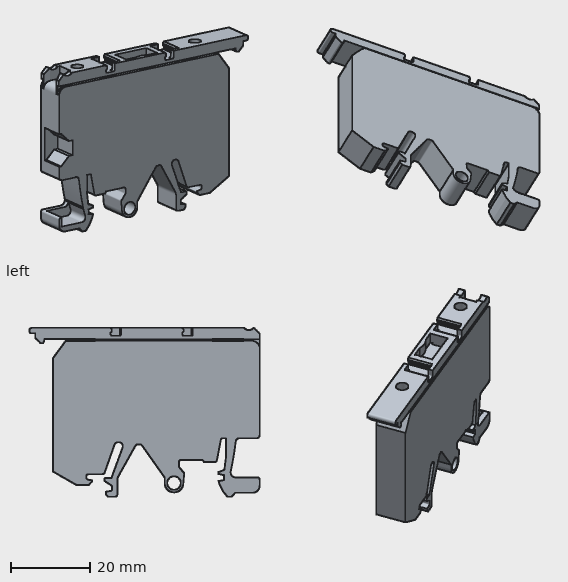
import cadquery as cq
import math


HOUSING_WIDTH = 8.1
HOUSING_HALF_WIDTH = HOUSING_WIDTH / 2
HOUSING_TOP = 39.25
HOUSING_BACK = 52.1
TOP_FRONT_RADIUS = 2.0
PIVOT_Y = 21.6
PIVOT_Z = 3.5
PIVOT_OUTER_RADIUS = 2.4
PIVOT_HOLE_RADIUS = 1.7

SIDE_WALL = 1.6
WINDOW_BOTTOM = 18.45
WINDOW_TOP = 27.0
WINDOW_LEDGE = 0.6
WINDOW_SLOPE_DEPTH = 2.95
WINDOW_SLOPE_HEIGHT = 2.3
WINDOW_DEPTH = 4.05
FOOT_LIP = 0.75
FOOT_FLOOR = 2.5
FOOT_TOP = 4.95
FOOT_CORNER_RADIUS = 1.15
TROUGH_TOP = 6.0
TROUGH_BACK_TOP = 7.35
TROUGH_BACK_BOTTOM = 8.4

LEVER_LENGTH = 58.0
LEVER_WIDTH = 7.8
LEVER_TOP = 42.6
LEVER_BOTTOM = 39.7
LEVER_HALF_WIDTH = LEVER_WIDTH / 2
NOSE_BEVEL = 1.5
THUMB_GROOVE_BACK = 3.95
THUMB_GROOVE_DEPTH = 0.6
SYMMETRY_Y = 26.05
HOLE_SPACING = 36.0
HOLE_RADIUS = 1.55
HOLE_X = 0.435

SLOT_SPACING = 18.05
SLOT_DEPTH = 2.05
SLOT_HALF_LENGTH = 2.5
SLOT_RIDGE = 0.35
FINGER_WIDTH = 1.2
FINGER_TIP = -0.1
FINGER_TIP_FILLET = 0.5

LABEL_LENGTH = 9.5
LABEL_X_MIN = -1.9
LABEL_X_MAX = 2.85
BULGE_LENGTH = 3.7
BULGE_HEIGHT = 0.4

NOTCH_HALF_WIDTH = 2.3
NOTCH_LENGTH = 4.65
FLARE_HALF_WIDTH = 2.8
FLARE_LENGTH = 1.55
LEG_HALF_WIDTH = 3.3
LEG_LENGTH = 4.05

RIB_X_MIN = -2.9
RIB_STEP_X = 1.15
RIB_X_MAX = 2.3
RIB_FRONT = 11.9
RIB_BACK = 41.4
TOOTH_1_SLOPE = 15.65
TOOTH_2_FRONT = 20.75
TOOTH_2_SLOPE = 31.3
TOOTH_2_BACK = 38.0

OVERLAP = 0.05


def rounded_outline(corners):
    """Closed YZ outline; each corner is (y, z) or (y, z, fillet radius)."""
    pieces = []
    for i, corner in enumerate(corners):
        y, z = corner[:2]
        radius = corner[2] if len(corner) > 2 else 0
        if not radius:
            pieces.append(((y, z),))
            continue
        before = corners[i - 1]
        after = corners[(i + 1) % len(corners)]
        angle_in = math.atan2(before[1] - z, before[0] - y)
        angle_out = math.atan2(after[1] - z, after[0] - y)
        half_angle = abs(math.remainder(angle_out - angle_in, 2 * math.pi)) / 2
        bisector = angle_in + math.remainder(angle_out - angle_in, 2 * math.pi) / 2
        tangent = radius / math.tan(half_angle)
        to_arc = radius / math.sin(half_angle) - radius
        pieces.append((
            (y + tangent * math.cos(angle_in), z + tangent * math.sin(angle_in)),
            (y + to_arc * math.cos(bisector), z + to_arc * math.sin(bisector)),
            (y + tangent * math.cos(angle_out), z + tangent * math.sin(angle_out)),
        ))
    sketch = cq.Workplane("YZ").moveTo(*pieces[0][-1])
    for piece in pieces[1:] + pieces[:1]:
        sketch = sketch.lineTo(*piece[0])
        if len(piece) == 3:
            sketch = sketch.threePointArc(piece[1], piece[2])
    return sketch.close()


def slab(sketch, x_min, x_max):
    """Extrude a YZ outline between two X positions."""
    return sketch.extrude(x_max - x_min).translate((x_min, 0, 0))


def box(x_min, x_max, y_min, y_max, z_min, z_max):
    size = (x_max - x_min, y_max - y_min, z_max - z_min)
    return cq.Workplane("XY").box(*size, centered=False).translate((x_min, y_min, z_min))


def pivot_cylinder(radius):
    circle = cq.Workplane("YZ").center(PIVOT_Y, PIVOT_Z).circle(radius)
    return slab(circle, -HOUSING_HALF_WIDTH, HOUSING_HALF_WIDTH)


def make_housing():
    back_hook = [
        (HOUSING_BACK, 6.4), (46.1, 2.95), (43.05, 2.95), (41.95, 4.2, 0.2),
        (43.6, 4.4, 0.5), (43.6, 5.7, 0.5), (39.15, 5.7, 0.7),
    ]
    back_spring_clip = [
        (36.3, 13.75, 1.0), (34.05, 13.75, 1.0), (37.35, 4.75), (39.1, 4.75, 0.3), (39.1, 4.0, 0.2),
        (37.25, 2.8, 0.25), (37.25, 1.55, 0.25), (38.75, 1.35), (38.75, 0.65), (38.15, 0),
        (35.8, 0, 0.7), (35.8, 4.75, 1.75),
    ]
    pivot_ear = [
        (31.1, 13.15, 0.45), (29.8, 13.15, 0.45), (23.95, 4.9),
        (PIVOT_Y + PIVOT_OUTER_RADIUS, PIVOT_Z), (PIVOT_Y, PIVOT_Z),
        (PIVOT_Y - PIVOT_OUTER_RADIUS, PIVOT_Z), (18.95, 5.9, 0.45), (20.3, 7.55, 0.45),
    ]
    front_arm_back = [
        (20.3, 9.3, 0.45), (14.45, 9.3), (14.05, 8.75), (10.85, 8.75, 0.5),
        (9.7, 14.75, 0.35), (8.5, 14.75), (8.5, 10.1), (8.95, 6.85), (10.4, 6.25), (10.4, 5.75),
        (9.05, 5.45), (9.05, 4.25), (10.4, 4.0), (10.15, 3.15), (9.2, 1.35),
    ]
    foot = [
        (8.1, 0), (7.1, 0), (6.2, 1.0), (0, 1.0, 1.85), (0, FOOT_TOP, 0.6),
        (7.6, FOOT_TOP, 1.2),
    ]
    front_face = [
        (6.5, 10.0, 85.25), (5.9, 14.75, 0.85), (0, 14.75, 0.8),
        (0, HOUSING_TOP, TOP_FRONT_RADIUS), (48.85, HOUSING_TOP), (HOUSING_BACK, 34.85),
    ]
    corners = back_hook + back_spring_clip + pivot_ear + front_arm_back + foot + front_face
    body = slab(rounded_outline(corners), -HOUSING_HALF_WIDTH, HOUSING_HALF_WIDTH)
    return body.union(pivot_cylinder(PIVOT_OUTER_RADIUS)).cut(pivot_cylinder(PIVOT_HOLE_RADIUS))


def make_window_cutter():
    """Front window with sloping top and bottom; leaves only the -X side wall."""
    low = WINDOW_BOTTOM + WINDOW_SLOPE_HEIGHT
    high = WINDOW_TOP - WINDOW_SLOPE_HEIGHT
    sketch = cq.Workplane("YZ").polyline([
        (0, WINDOW_BOTTOM), (WINDOW_LEDGE, WINDOW_BOTTOM), (WINDOW_SLOPE_DEPTH, low),
        (WINDOW_DEPTH, low), (WINDOW_DEPTH, high),
        (WINDOW_SLOPE_DEPTH, high), (WINDOW_LEDGE, WINDOW_TOP), (0, WINDOW_TOP),
    ]).close()
    return slab(sketch, SIDE_WALL - HOUSING_HALF_WIDTH, HOUSING_HALF_WIDTH)


def make_foot_cutter():
    """Trough in the foot, between its front lip and the front arm."""
    sketch = rounded_outline([
        (FOOT_LIP, FOOT_FLOOR), (FOOT_LIP, TROUGH_TOP), (TROUGH_BACK_TOP, TROUGH_TOP),
        (TROUGH_BACK_BOTTOM, FOOT_FLOOR, FOOT_CORNER_RADIUS),
    ])
    return slab(sketch, SIDE_WALL - HOUSING_HALF_WIDTH, HOUSING_HALF_WIDTH)


def make_lever_bar():
    grip = [
        (LEVER_LENGTH, LEVER_TOP, 0.7), (LEVER_LENGTH, 41.1, 0.6), (56.55, 41.1), (56.55, 40.0),
        (55.1, 38.6, 0.35), (54.5, 38.6, 0.35), (54.2, 39.3), (54.2, LEVER_BOTTOM),
    ]
    nose = [(0, LEVER_BOTTOM), (0, LEVER_TOP - NOSE_BEVEL), (NOSE_BEVEL, LEVER_TOP)]
    bar = slab(rounded_outline(grip + nose), -LEVER_HALF_WIDTH, LEVER_HALF_WIDTH)
    groove_middle = (NOSE_BEVEL + THUMB_GROOVE_BACK) / 2
    thumb_groove = (
        cq.Workplane("YZ").moveTo(NOSE_BEVEL, LEVER_TOP)
        .threePointArc((groove_middle, LEVER_TOP - THUMB_GROOVE_DEPTH), (THUMB_GROOVE_BACK, LEVER_TOP))
        .close()
    )
    return bar.cut(slab(thumb_groove, -LEVER_HALF_WIDTH, LEVER_HALF_WIDTH))


def make_slot_cutter():
    """Slot centred on Y = 0 with ribbed end walls, stepped at both sides by lever fingers."""
    top = LEVER_TOP
    floor = LEVER_TOP - SLOT_DEPTH
    half = SLOT_HALF_LENGTH
    end_wall = [(half, top), (half - SLOT_RIDGE, top - 0.45), (half - SLOT_RIDGE, top - 0.85),
                (half, top - 1.35), (half, top - 1.6), (half - 0.2, floor)]
    other_wall = [(-y, z) for y, z in reversed(end_wall)]
    profile = cq.Workplane("YZ").polyline(end_wall + other_wall).close()
    slot = slab(profile, -LEVER_HALF_WIDTH, LEVER_HALF_WIDTH)
    finger_root = -half - SLOT_RIDGE
    fillet = FINGER_TIP_FILLET
    arc_offset = fillet * (1 - math.sqrt(0.5))
    finger = (
        cq.Workplane("YZ").moveTo(finger_root, floor).lineTo(finger_root, top)
        .lineTo(FINGER_TIP, top).lineTo(FINGER_TIP, floor + fillet)
        .threePointArc((FINGER_TIP + arc_offset, floor + arc_offset), (FINGER_TIP + fillet, floor))
        .close()
    )
    finger = slab(finger, -LEVER_HALF_WIDTH, FINGER_WIDTH - LEVER_HALF_WIDTH)
    return slot.cut(finger).cut(finger.rotate((0, 0, 0), (0, 0, 1), 180))


def make_label_cutter():
    half = LABEL_LENGTH / 2
    sketch = (
        cq.Workplane("XY").moveTo(LABEL_X_MIN, -half).lineTo(LABEL_X_MAX, -half)
        .lineTo(LABEL_X_MAX, -BULGE_LENGTH / 2)
        .threePointArc((LABEL_X_MAX - BULGE_HEIGHT, 0), (LABEL_X_MAX, BULGE_LENGTH / 2))
        .lineTo(LABEL_X_MAX, half).lineTo(LABEL_X_MIN, half).close()
    )
    return sketch.extrude(LEVER_TOP - HOUSING_TOP).translate((0, SYMMETRY_Y, HOUSING_TOP))


def make_front_notch_cutter():
    """Notch in the lever front, flaring out towards the front face."""
    right_side = [
        (FLARE_HALF_WIDTH, 0), (NOTCH_HALF_WIDTH, FLARE_LENGTH), (NOTCH_HALF_WIDTH, NOTCH_LENGTH),
    ]
    left_side = [(-x, y) for x, y in reversed(right_side)]
    sketch = cq.Workplane("XY").polyline(right_side + left_side).close()
    return sketch.extrude(LEVER_TOP)


def make_gap_rib():
    """Rib on top of the housing that carries the lever; its -X side is saw-toothed."""
    sketch = cq.Workplane("XY").polyline([
        (RIB_X_MAX, RIB_FRONT), (RIB_X_MIN, RIB_FRONT),
        (RIB_X_MIN, TOOTH_1_SLOPE), (RIB_STEP_X, TOOTH_2_FRONT), (RIB_X_MIN, TOOTH_2_FRONT),
        (RIB_X_MIN, TOOTH_2_SLOPE), (RIB_STEP_X, TOOTH_2_BACK),
        (RIB_STEP_X, RIB_BACK), (RIB_X_MAX, RIB_BACK),
    ]).close()
    height = LEVER_BOTTOM - HOUSING_TOP + 2 * OVERLAP
    return sketch.extrude(height).translate((0, 0, HOUSING_TOP - OVERLAP))


def make_lever():
    legs = box(-LEG_HALF_WIDTH, LEG_HALF_WIDTH, 0, LEG_LENGTH,
               HOUSING_TOP - TOP_FRONT_RADIUS, LEVER_BOTTOM + OVERLAP)
    lever = make_lever_bar().union(legs).cut(make_front_notch_cutter()).union(make_gap_rib())
    slot = make_slot_cutter()
    hole = cq.Workplane("XY").circle(HOLE_RADIUS).extrude(LEVER_TOP - HOUSING_TOP)
    for side in (-0.5, 0.5):
        lever = lever.cut(slot.translate((0, SYMMETRY_Y + side * SLOT_SPACING, 0)))
        lever = lever.cut(hole.translate((HOLE_X, SYMMETRY_Y + side * HOLE_SPACING, HOUSING_TOP)))
    return lever.cut(make_label_cutter())


housing = make_housing().cut(make_window_cutter()).cut(make_foot_cutter())
result = housing.union(make_lever())